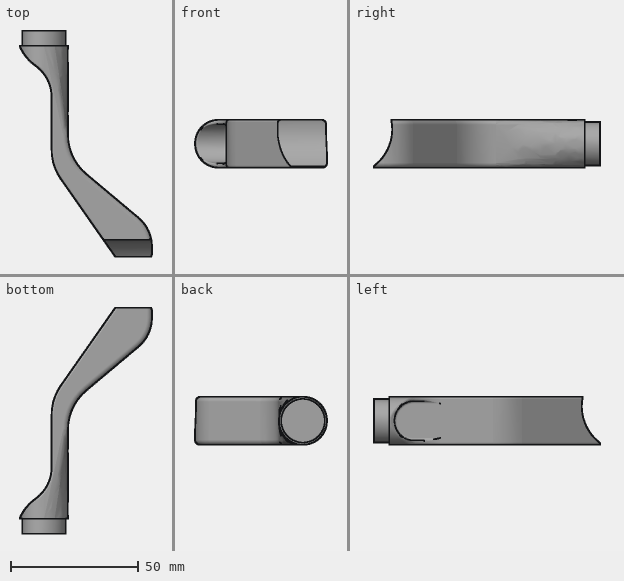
import cadquery as cq
import math


length = 89.0
body_dia = 19.0
radius = body_dia / 2
width = 52.0
tip_x = width - radius
oversize = 8.9

spigot_dia = 17.2
spigot_length = 6.0
shoulder_y = length - spigot_length

web_left_x = 2.9
bend_radius = 20.0
nose_radius = 15.0
neck_radius = 15.0
right_angle = math.radians(50)
left_angle = math.radians(35)
tip_left_x = 28.0
blend_end_y = 48.0
neck_web_y = 62.9
neck_top_x = -9.7
neck_turn_y = 75.1

right_fillet = 2.0
left_fillet = 1.0

pocket_dia = 15.5
pocket_center_y = 73.2
pocket_floor_fillet = 1.0
mouth_fillet = 0.4
mouth_side_y = 70.75
hollow_radius = 18.0
tip_land = 0.7
hollow_z = 5.6


def blend():
    """Ruled loft from the half-round socket to the web section with rounded right corners."""
    corner_x = radius - right_fillet
    corner_arc = right_fillet * math.pi / 2
    flat = 2 * corner_x
    split = math.pi * corner_arc / (2 * corner_arc + flat)

    def on_circle(angle):
        return radius * math.sin(angle), radius * math.cos(angle)

    diagonal = right_fillet * math.sin(math.pi / 4)
    socket = (
        cq.Workplane("XZ", origin=(0, shoulder_y, 0))
        .moveTo(-radius, -radius)
        .lineTo(-radius, radius)
        .lineTo(0, radius)
        .threePointArc(on_circle(split / 2), on_circle(split))
        .threePointArc((radius, 0), on_circle(math.pi - split))
        .threePointArc(on_circle(math.pi - split / 2), (0, -radius))
        .close()
    )
    return (
        socket.workplane(offset=shoulder_y - blend_end_y)
        .moveTo(-radius, -radius)
        .lineTo(-radius, radius)
        .lineTo(corner_x, radius)
        .threePointArc((corner_x + diagonal, corner_x + diagonal), (radius, corner_x))
        .lineTo(radius, -corner_x)
        .threePointArc((corner_x + diagonal, -corner_x - diagonal), (corner_x, -radius))
        .close()
        .loft(ruled=True)
    )


def bend_offset(bend, angle):
    """Sideways and lengthwise travel of an arc that leaves the Y direction and turns by angle."""
    return bend * (1 - math.cos(angle)), bend * math.sin(angle)


def lower_web():
    """Bent web below the blend, with the edges of its right side rounded."""
    across, along = bend_offset(bend_radius, right_angle)
    elbow_end = (radius + across, blend_end_y - along)

    across, along = bend_offset(nose_radius, right_angle)
    nose_start_x = tip_x - across
    nose_start_y = elbow_end[1] - (nose_start_x - elbow_end[0]) / math.tan(right_angle)
    nose_end_y = nose_start_y - along

    across, along = bend_offset(bend_radius, left_angle)
    left_bend_end_x = web_left_x + across
    left_bend_end_y = (tip_left_x - left_bend_end_x) / math.tan(left_angle)
    left_bend_start = (web_left_x, left_bend_end_y + along)

    plate = (
        cq.Workplane("XY", origin=(0, 0, -radius))
        .moveTo(web_left_x, blend_end_y)
        .lineTo(*left_bend_start)
        .tangentArcPoint((left_bend_end_x, left_bend_end_y), relative=False)
        .lineTo(tip_left_x, 0)
        .lineTo(tip_x, 0)
        .lineTo(tip_x, nose_end_y)
        .tangentArcPoint((nose_start_x, nose_start_y), relative=False)
        .lineTo(*elbow_end)
        .tangentArcPoint((radius, blend_end_y), relative=False)
        .close()
        .extrude(body_dia)
    )
    return plate.edges(">X and (>Z or <Z)").fillet(right_fillet)


def neck_x(y):
    """X of the hollow part of the neck sweep at position y along the arm."""
    return web_left_x - neck_radius + math.sqrt(neck_radius**2 - (y - neck_web_y) ** 2)


def plan_envelope():
    """Everything right of the neck sweep and the left face of the web."""
    return (
        cq.Workplane("XY", origin=(0, 0, -radius))
        .moveTo(web_left_x, blend_end_y)
        .lineTo(web_left_x, neck_web_y)
        .tangentArcPoint((neck_x(neck_turn_y), neck_turn_y), relative=False)
        .tangentArcPoint((neck_top_x, shoulder_y), relative=False)
        .lineTo(radius + oversize, shoulder_y)
        .lineTo(radius + oversize, blend_end_y)
        .close()
        .extrude(body_dia)
    )


def round_left():
    """Bar along Y that is half-round on its left."""
    return (
        cq.Workplane("XZ", origin=(0, shoulder_y, 0))
        .moveTo(0, -radius)
        .threePointArc((-radius, 0), (0, radius))
        .lineTo(radius + oversize, radius)
        .lineTo(radius + oversize, -radius)
        .close()
        .extrude(shoulder_y - blend_end_y)
    )


def pocket():
    """Round-ended pocket sunk along X, its floor in line with the left face of the web."""
    return (
        cq.Workplane("YZ", origin=(-radius - oversize, 0, 0))
        .moveTo(neck_web_y, -pocket_dia / 2)
        .lineTo(pocket_center_y, -pocket_dia / 2)
        .tangentArcPoint((pocket_center_y, pocket_dia / 2), relative=False)
        .lineTo(neck_web_y, pocket_dia / 2)
        .close()
        .extrude(web_left_x + radius + oversize)
        .edges(">X and (not <Y)")
        .fillet(pocket_floor_fillet)
    )


def tip_hollow():
    """Cylinder along X that scoops out the tip and leaves a flat land at Y = 0 below it."""
    drop = math.sqrt(hollow_radius**2 - (radius - tip_land + hollow_z) ** 2)
    return (
        cq.Workplane("YZ")
        .center(-drop, hollow_z)
        .circle(hollow_radius)
        .extrude(tip_x + oversize)
    )


upper_arm = blend().intersect(round_left()).intersect(plan_envelope())
arm = upper_arm.union(lower_web())

web_left_edge = cq.selectors.NearestToPointSelector((web_left_x, blend_end_y, radius))
arm = arm.edges(web_left_edge).fillet(left_fillet)

mouth_edge = cq.selectors.NearestToPointSelector((neck_x(mouth_side_y), mouth_side_y, pocket_dia / 2))
arm = arm.cut(pocket()).edges(mouth_edge).fillet(mouth_fillet)

arm = arm.cut(tip_hollow())

spigot = (
    cq.Workplane("XZ", origin=(0, length, 0))
    .circle(spigot_dia / 2)
    .extrude(spigot_length)
)
result = arm.union(spigot)